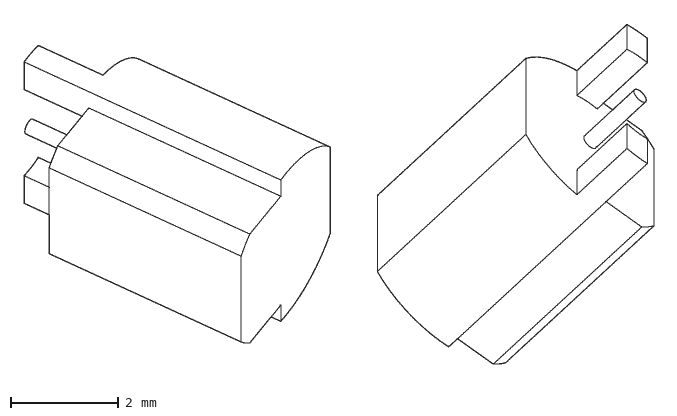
import cadquery as cq

total_length = 5.61
body_length = 4.195
outer_radius = 1.995
body_width = 3.18

step_y = -0.18
step_half_height = 1.53

tab_width = 0.505
tab_inner_radius = 1.225
pin_diameter = 0.31

front_length = total_length - body_length


def x_cylinder(radius, start, length):
    """Cylinder about the X axis."""
    return cq.Workplane("YZ", origin=(start, 0, 0)).circle(radius).extrude(length)


def x_block(y_min, y_max, height, start, length):
    """Block between two Y planes, centred on Z = 0."""
    return cq.Workplane("XY").box(
        length, y_max - y_min, height, centered=(False, False, True)
    ).translate((start, y_min, 0))


half_width = body_width / 2
full_side = x_block(step_y, half_width, 2 * outer_radius, front_length, body_length)
stepped_side = x_block(-half_width, step_y, 2 * step_half_height, front_length, body_length)
body = x_cylinder(outer_radius, front_length, body_length).intersect(full_side.union(stepped_side))

tab_slice = x_block(step_y, step_y + tab_width, 2 * outer_radius, 0, front_length)
ring = x_cylinder(outer_radius, 0, front_length).cut(x_cylinder(tab_inner_radius, 0, front_length))
tabs = ring.intersect(tab_slice)

pin = x_cylinder(pin_diameter / 2, 0, front_length)

result = body.union(tabs).union(pin)